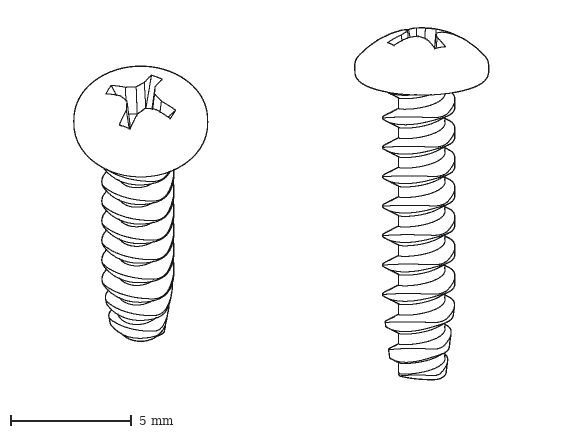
import cadquery as cq
import math

HEAD_RADIUS = 2.78
DOME_HEIGHT = 2.03
RIM_HEIGHT = 0.67
RIM_TOP_FILLET = 0.3
RIM_BOTTOM_FILLET = 0.26

SHANK_LENGTH = 12.7
CORE_RADIUS = 0.965

PITCH = 1.27
THREAD_HALF_ANGLE = math.radians(30)
APEX_RADIUS = 1.67
THREAD_OVERLAP = 0.2
CREST_Z_ON_X = -0.34

LOBE_CREST_RADIUS = 1.62
LOBE_CENTRE_RADIUS = 0.9
LOBE_ANGLES = (90, 210, 330)
LOBE_SPACING = 120
LOBE_HALF_SPAN = 30
TIP_TRIM = 0.36
TAPER_LENGTH = 3.0

RECESS_FLOOR_Z = 0.38
WING_RIM_Z = 1.7
WING_RIM_LENGTH = 1.5
WING_RIM_HALF_WIDTH = 0.25
WING_FLOOR_LENGTH = 0.74
WING_FLOOR_HALF_WIDTH = 0.135
WING_FLARE = 0.023
STAR_RIM_LENGTH = 0.86
STAR_RIM_HALF_WIDTH = 0.25
STAR_RIM_CORNER = 0.43
STAR_FLOOR_CORNER = 0.33


def make_head():
    dome_rise = DOME_HEIGHT - RIM_HEIGHT
    dome_sphere_radius = (HEAD_RADIUS**2 + dome_rise**2) / (2 * dome_rise)
    mid_radius = HEAD_RADIUS / 2
    mid_z = DOME_HEIGHT - dome_sphere_radius + math.sqrt(dome_sphere_radius**2 - mid_radius**2)
    head = (
        cq.Workplane("XZ")
        .lineTo(HEAD_RADIUS, 0)
        .lineTo(HEAD_RADIUS, RIM_HEIGHT)
        .threePointArc((mid_radius, mid_z), (0, DOME_HEIGHT))
        .close()
        .revolve(360, (0, 0, 0), (0, 1, 0))
    )
    head = head.faces("<Z").edges().fillet(RIM_BOTTOM_FILLET)
    return head.faces("%CYLINDER").edges(">Z").fillet(RIM_TOP_FILLET)


def make_core():
    return (
        cq.Workplane("XY", origin=(0, 0, -SHANK_LENGTH))
        .circle(CORE_RADIUS)
        .extrude(SHANK_LENGTH + RIM_HEIGHT / 2)
    )


def make_thread_turn(start_z):
    root_radius = CORE_RADIUS - THREAD_OVERLAP
    root_half_width = (APEX_RADIUS - root_radius) * math.tan(THREAD_HALF_ANGLE)
    helix = cq.Wire.makeHelix(PITCH, PITCH, CORE_RADIUS, center=cq.Vector(0, 0, start_z))
    tooth = (
        cq.Workplane("XZ")
        .moveTo(root_radius, start_z - root_half_width)
        .lineTo(APEX_RADIUS, start_z)
        .lineTo(root_radius, start_z + root_half_width)
        .close()
    )
    return tooth.sweep(cq.Workplane(helix), isFrenet=True)


def polar(radius, degrees, centre=(0, 0)):
    angle = math.radians(degrees)
    return (centre[0] + radius * math.cos(angle), centre[1] + radius * math.sin(angle))


def draw_lobed_outline(plane, trim):
    lobe_arc_radius = LOBE_CREST_RADIUS - LOBE_CENTRE_RADIUS - trim
    flank_radius = lobe_arc_radius + (math.sqrt(3) - 1) * LOBE_CENTRE_RADIUS
    first_centre = polar(LOBE_CENTRE_RADIUS, LOBE_ANGLES[0])
    outline = plane.moveTo(*polar(lobe_arc_radius, LOBE_ANGLES[0] - LOBE_HALF_SPAN, first_centre))
    for lobe_angle in LOBE_ANGLES:
        next_angle = lobe_angle + LOBE_SPACING
        lobe_centre = polar(LOBE_CENTRE_RADIUS, lobe_angle)
        next_centre = polar(LOBE_CENTRE_RADIUS, next_angle)
        lobe_tip = polar(LOBE_CREST_RADIUS - trim, lobe_angle)
        lobe_end = polar(lobe_arc_radius, lobe_angle + LOBE_HALF_SPAN, lobe_centre)
        flank_middle = polar(flank_radius, lobe_angle + LOBE_SPACING / 2)
        next_start = polar(lobe_arc_radius, next_angle - LOBE_HALF_SPAN, next_centre)
        outline = outline.threePointArc(lobe_tip, lobe_end)
        outline = outline.threePointArc(flank_middle, next_start)
    return outline.close()


def make_crest_envelope():
    tip_outline = draw_lobed_outline(cq.Workplane("XY", origin=(0, 0, -SHANK_LENGTH)), TIP_TRIM)
    tip = draw_lobed_outline(tip_outline.workplane(offset=TAPER_LENGTH), 0).loft(ruled=True)
    straight_plane = cq.Workplane("XY", origin=(0, 0, TAPER_LENGTH - SHANK_LENGTH))
    straight_length = SHANK_LENGTH - TAPER_LENGTH + RIM_HEIGHT / 2
    return tip.union(draw_lobed_outline(straight_plane, 0).extrude(straight_length))


def make_threaded_shank():
    shank = make_core()
    envelope = make_crest_envelope()
    turns_below = math.ceil(SHANK_LENGTH / PITCH) + 1
    for turn in range(-turns_below, 1):
        thread_turn = make_thread_turn(CREST_Z_ON_X + turn * PITCH)
        shank = shank.union(thread_turn.intersect(envelope))
    return shank


def draw_wing_pair(plane, length, end_half_width):
    waist_half_width = end_half_width - WING_FLARE * length
    return plane.polyline(
        [
            (length, -end_half_width),
            (length, end_half_width),
            (0, waist_half_width),
            (-length, end_half_width),
            (-length, -end_half_width),
            (0, -waist_half_width),
        ]
    ).close()


def make_wing_pair():
    rise = (DOME_HEIGHT - RECESS_FLOOR_Z) / (WING_RIM_Z - RECESS_FLOOR_Z)
    top_length = WING_FLOOR_LENGTH + (WING_RIM_LENGTH - WING_FLOOR_LENGTH) * rise
    top_half_width = WING_FLOOR_HALF_WIDTH + (WING_RIM_HALF_WIDTH - WING_FLOOR_HALF_WIDTH) * rise
    floor_plane = cq.Workplane("XY", origin=(0, 0, RECESS_FLOOR_Z))
    floor_outline = draw_wing_pair(floor_plane, WING_FLOOR_LENGTH, WING_FLOOR_HALF_WIDTH)
    top_plane = floor_outline.workplane(offset=DOME_HEIGHT - RECESS_FLOOR_Z)
    return draw_wing_pair(top_plane, top_length, top_half_width).loft(ruled=True)


def draw_star(plane, tip_length, tip_half_width, corner):
    points = []
    for x_sign, y_sign in ((1, 1), (-1, 1), (-1, -1), (1, -1)):
        tip_on_x = (x_sign * tip_length, y_sign * tip_half_width)
        tip_on_y = (x_sign * tip_half_width, y_sign * tip_length)
        inner_corner = (x_sign * corner, y_sign * corner)
        if x_sign == y_sign:
            points += [tip_on_x, inner_corner, tip_on_y]
        else:
            points += [tip_on_y, inner_corner, tip_on_x]
    return plane.polyline(points).close()


def make_recess():
    floor_plane = cq.Workplane("XY", origin=(0, 0, RECESS_FLOOR_Z))
    floor_star = draw_star(floor_plane, WING_FLOOR_LENGTH, WING_FLOOR_HALF_WIDTH, STAR_FLOOR_CORNER)
    rim_plane = floor_star.workplane(offset=DOME_HEIGHT - RECESS_FLOOR_Z)
    star = draw_star(rim_plane, STAR_RIM_LENGTH, STAR_RIM_HALF_WIDTH, STAR_RIM_CORNER).loft(ruled=True)
    wings = make_wing_pair()
    return star.union(wings).union(wings.rotate((0, 0, 0), (0, 0, 1), 90))


result = make_threaded_shank().union(make_head()).cut(make_recess())